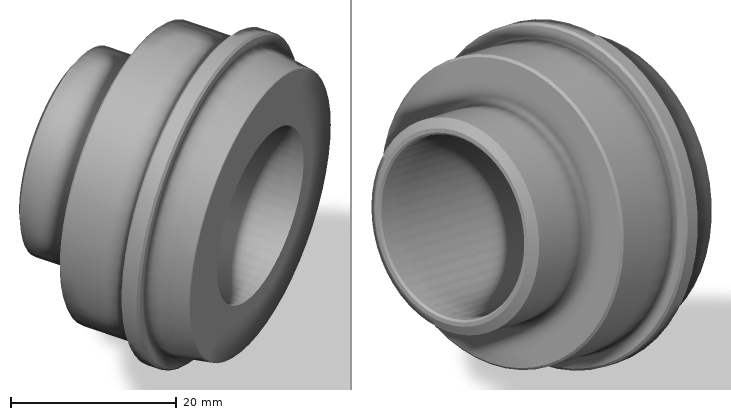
import cadquery as cq
import math

length = 26.5
shoulder_x = 9.07
flange_front_x = 18.5
flange_width = 2.5
end_chamfer = 0.1
flange_back_x = flange_front_x + flange_width
taper_end_x = length - end_chamfer

bore_diameter = 22.9
neck_diameter = 26.9
body_diameter = 39.0
flange_diameter = 43.0
taper_end_diameter = 37.5

taper_angle = 9.5
weld_bevel_length = 0.75
weld_bevel_depth = 1.2
bore_chamfer = 0.25
neck_fillet = 1.0
edge_break = 0.3
flange_fillet = 0.35
taper_fillet = 0.45

bore_radius = bore_diameter / 2
neck_radius = neck_diameter / 2
body_radius = body_diameter / 2
flange_radius = flange_diameter / 2
taper_end_radius = taper_end_diameter / 2
taper_root_radius = taper_end_radius + (taper_end_x - flange_back_x) * math.tan(math.radians(taper_angle))

origin_x = -length / 2


def circles_within(x, radius):
    """Select the circular edges at station x that are no larger than the given radius."""
    margin = 0.005
    reach = radius + margin
    return cq.selectors.BoxSelector(
        (origin_x + x - margin, -reach, -reach),
        (origin_x + x + margin, reach, reach),
        boundingbox=True,
    )


half_section = [
    (0, bore_radius + bore_chamfer),
    (0, neck_radius - weld_bevel_depth),
    (weld_bevel_length, neck_radius),
    (shoulder_x, neck_radius),
    (shoulder_x, body_radius - edge_break),
    (shoulder_x + edge_break, body_radius),
    (flange_front_x, body_radius),
    (flange_front_x, flange_radius - edge_break),
    (flange_front_x + edge_break, flange_radius),
    (flange_back_x - edge_break, flange_radius),
    (flange_back_x, flange_radius - edge_break),
    (flange_back_x, taper_root_radius),
    (taper_end_x, taper_end_radius),
    (length, taper_end_radius - end_chamfer),
    (length, bore_radius),
    (bore_chamfer, bore_radius),
]
result = (
    cq.Workplane("XY", origin=(origin_x, 0, 0))
    .polyline(half_section)
    .close()
    .revolve(360, (0, 0), (1, 0))
)

inside_corners = [
    (shoulder_x, neck_radius, neck_fillet),
    (flange_front_x, body_radius, flange_fillet),
    (flange_back_x, taper_root_radius, taper_fillet),
]
largest_radius = cq.selectors.RadiusNthSelector(-1)
for corner_x, corner_radius, fillet_radius in inside_corners:
    corner_circles = circles_within(corner_x, corner_radius)
    result = result.edges(corner_circles).edges(largest_radius).fillet(fillet_radius)